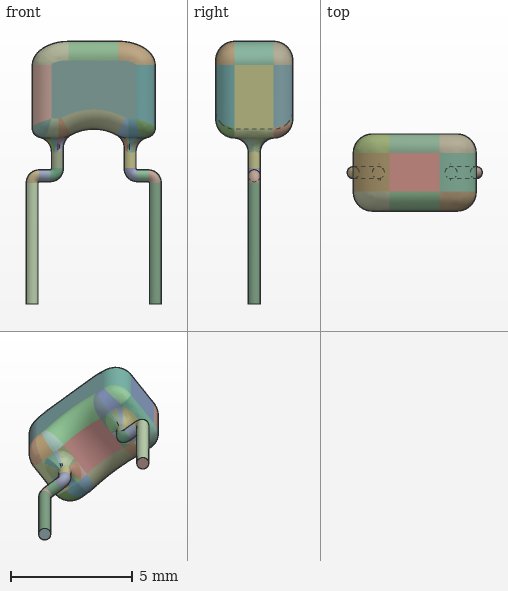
import cadquery as cq
import math

body_width = 5.08
body_depth = 3.19
body_height = 4.0
body_top = 10.84
edge_radius = 0.8
top_corner_width = 1.5
top_corner_height = 1.0
bottom_corner_width = 0.5
bottom_corner_height = 0.4

arch_shoulder_radius = 1.07
arch_shoulder_x = 1.45
arch_angle = math.radians(28.5)
arch_radius = arch_shoulder_x / math.sin(arch_angle) - arch_shoulder_radius

lead_diameter = 0.5
lead_pitch = 5.08
lead_root_pitch = 3.0
bend_radius = 0.3
jog_drop = 5.55
root_depth = 0.8
root_flare_radius = 0.6

half_width = body_width / 2
body_bottom = body_top - body_height
jog_z = body_top - jog_drop


def arch_shoulder_point(angle):
    """Point on the right shoulder of the arch, where the outline has turned by the angle."""
    x = arch_shoulder_x - arch_shoulder_radius * math.sin(angle)
    z = body_bottom + arch_shoulder_radius * (1 - math.cos(angle))
    return x, z


def mirrored(point):
    x, z = point
    return -x, z


def make_body():
    """Block with elliptical corners and an arched underside, rounded at its front and back."""
    top_flat_x = half_width - top_corner_width
    bottom_flat_x = half_width - bottom_corner_width
    top_side_z = body_top - top_corner_height
    bottom_side_z = body_bottom + bottom_corner_height

    shoulder_middle = arch_shoulder_point(arch_angle / 2)
    arch_end = arch_shoulder_point(arch_angle)
    arch_crown = (0, arch_end[1] + arch_radius * (1 - math.cos(arch_angle)))

    outline = (
        cq.Workplane("XZ")
        .moveTo(-top_flat_x, body_top)
        .ellipseArc(top_corner_width, top_corner_height, 90, 180)
        .lineTo(-half_width, bottom_side_z)
        .ellipseArc(bottom_corner_width, bottom_corner_height, 180, 270)
        .lineTo(-arch_shoulder_x, body_bottom)
        .threePointArc(mirrored(shoulder_middle), mirrored(arch_end))
        .threePointArc(arch_crown, arch_end)
        .threePointArc(shoulder_middle, (arch_shoulder_x, body_bottom))
        .lineTo(bottom_flat_x, body_bottom)
        .ellipseArc(bottom_corner_width, bottom_corner_height, 270, 360)
        .lineTo(half_width, top_side_z)
        .ellipseArc(top_corner_width, top_corner_height, 0, 90)
        .close()
    )
    block = outline.extrude(body_depth).translate((0, body_depth / 2, 0))
    return block.faces("|Y").edges().fillet(edge_radius)


def make_lead(side):
    """Round wire that drops from the body, jogs outward and runs down; side is -1 or 1."""
    root_x = side * lead_root_pitch / 2
    tip_x = side * lead_pitch / 2
    root_top = body_bottom + root_depth
    bend_offset = side * bend_radius

    path = (
        cq.Workplane("XZ")
        .moveTo(tip_x, 0)
        .lineTo(tip_x, jog_z - bend_radius)
        .tangentArcPoint((tip_x - bend_offset, jog_z), relative=False)
        .lineTo(root_x + bend_offset, jog_z)
        .tangentArcPoint((root_x, jog_z + bend_radius), relative=False)
        .lineTo(root_x, root_top)
    )
    return cq.Workplane("XY").center(tip_x, 0).circle(lead_diameter / 2).sweep(path)


def flare_root(part, side):
    """Concave fillet where the lead on the given side enters the underside of the body."""
    root_x = side * lead_root_pitch / 2
    margin = lead_diameter / 5
    reach = lead_diameter / 2 + margin
    root_box = cq.selectors.BoxSelector(
        (root_x - reach, -reach, body_bottom - margin),
        (root_x + reach, reach, body_bottom + margin),
        boundingbox=True,
    )
    return part.edges(root_box).fillet(root_flare_radius)


result = make_body()
for side in (-1, 1):
    result = result.union(make_lead(side))
    result = flare_root(result, side)